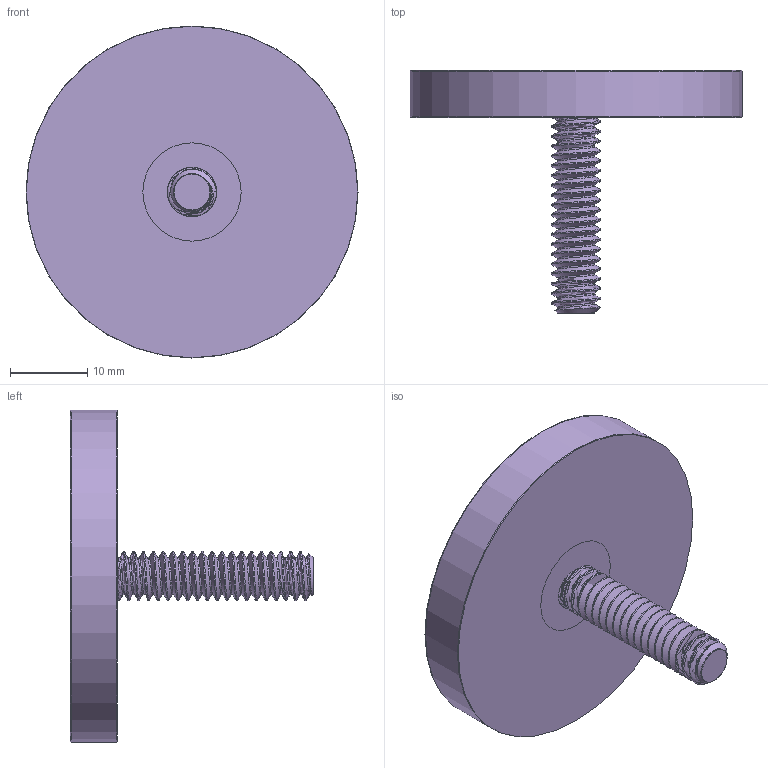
import cadquery as cq
import math

disc_diameter = 42.93
disc_thickness = 6.1
rim_bevel_height = 0.13
rim_bevel_inset = 0.03

head_diameter = 12.7
head_depth = disc_thickness / 2

stud_length = 25.4
thread_diameter = 6.35
thread_pitch = 1.27
tip_diameter = 4.62
first_crest = 0.52

flank_half_angle = math.radians(30)
thread_radius = thread_diameter / 2
thread_depth = 0.6134 * thread_pitch
core_radius = thread_radius - thread_depth
crest_width = thread_pitch / 8
ridge_sink = 0.05
ridge_root_radius = core_radius - ridge_sink
ridge_root_width = crest_width + 2 * (thread_depth + ridge_sink) * math.tan(flank_half_angle)

ridge_overrun_turns = 2
ridge_start = first_crest - ridge_overrun_turns * thread_pitch
ridge_turns = math.ceil(stud_length / thread_pitch) + 2 * ridge_overrun_turns
ridge_length = ridge_turns * thread_pitch

envelope_margin = 0.1
envelope_radius = thread_radius + envelope_margin
envelope_bevel = envelope_radius - tip_diameter / 2


def make_disc():
    """Disc with slightly bevelled rims and a recess for the stud head."""
    blank = (
        cq.Workplane("XZ")
        .circle(disc_diameter / 2)
        .extrude(-disc_thickness)
        .faces("<Y or >Y")
        .chamfer(rim_bevel_height, rim_bevel_inset)
    )
    recess = cq.Workplane("XZ").circle(head_diameter / 2).extrude(-head_depth)
    return blank.cut(recess)


def make_thread_ridge():
    """Right-hand helical ridge around the Z axis."""
    path = cq.Wire.makeHelix(thread_pitch, ridge_length, ridge_root_radius)
    ridge = (
        cq.Workplane("XZ")
        .moveTo(ridge_root_radius, -ridge_root_width / 2)
        .lineTo(thread_radius, -crest_width / 2)
        .lineTo(thread_radius, crest_width / 2)
        .lineTo(ridge_root_radius, ridge_root_width / 2)
        .close()
        .sweep(cq.Workplane(path), isFrenet=True)
    )
    return ridge.translate((0, 0, ridge_start))


def make_stud():
    """Threaded shank with a bevelled tip and a plain round head, as one body."""
    envelope = (
        cq.Workplane("XY")
        .circle(envelope_radius)
        .extrude(stud_length)
        .faces(">Z")
        .chamfer(envelope_bevel)
    )
    core = cq.Workplane("XY").circle(core_radius).extrude(stud_length).intersect(envelope)
    ridge = make_thread_ridge().intersect(envelope)
    shank = core.union(ridge, clean=False)
    head = cq.Workplane("XY").circle(head_diameter / 2).extrude(-head_depth)
    return shank.union(head, clean=False).rotate((0, 0, 0), (1, 0, 0), 90)


disc = make_disc()
stud = make_stud()

result = cq.Compound.makeCompound([disc.val(), *stud.solids().vals()])